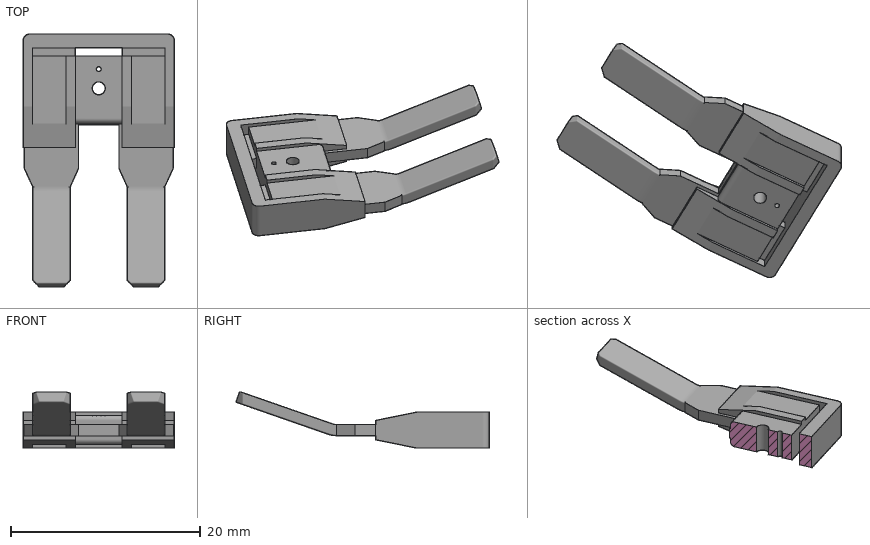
import cadquery as cq
import math

BODY_WIDTH = 16.0
BODY_LENGTH = 12.0
BODY_HEIGHT = 3.83
TOTAL_LENGTH = 26.75
MID_Z = BODY_HEIGHT / 2
CORNER_RADIUS = 0.72

TAPER_START = 7.68
TAPER_DROP = 0.88

BACK_WALL = 1.47
SIDE_WALL = 1.02
GAP_WIDTH = 4.95
RECESS_DEPTH = 0.37
POCKET_WIDTH = 3.53

DECK_BACK = 2.33
DECK_FRONT = 9.5
DECK_EDGE_RADIUS = 0.54
SMALL_HOLE_DIAMETER = 0.48
SMALL_HOLE_Y = 3.72
LARGE_HOLE_DIAMETER = 1.35
LARGE_HOLE_Y = 5.75

PLATE_THICKNESS = 1.2
PLATE_FRONT = 9.6
PLATE_BOTTOM = MID_Z - PLATE_THICKNESS / 2
PLATE_TOP = MID_Z + PLATE_THICKNESS / 2
ARM_OUTER_X = 7.9
ARM_INNER_X = 2.1
ARM_TAPER_START = 14.18
TINE_START = 16.15

TINE_OUTER_X = 6.98
TINE_INNER_X = 3.0
TINE_ANGLE = 19.2
TINE_BEND_RADIUS = 1.4
TIP_CHAMFER = 0.75
TINE_EDGE_RADIUS = 0.13

SIDES = (-1, 1)


def box(x_start, x_end, y_start, y_end, z_start, z_end):
    """Axis-aligned block; y_start and y_end are distances forward of the back face."""
    size = (abs(x_end - x_start), y_end - y_start, z_end - z_start)
    centre = ((x_start + x_end) / 2, -(y_start + y_end) / 2, (z_start + z_end) / 2)
    return cq.Workplane("XY").box(*size).translate(centre)


def side_profile(points, width):
    """Extrude an outline of (distance forward, height) points evenly about X = 0."""
    outline = [(-forward, height) for forward, height in points]
    return cq.Workplane("YZ").polyline(outline).close().extrude(width / 2, both=True)


def make_body():
    block = side_profile(
        [
            (0, 0),
            (TAPER_START, 0),
            (BODY_LENGTH, TAPER_DROP),
            (BODY_LENGTH, BODY_HEIGHT - TAPER_DROP),
            (TAPER_START, BODY_HEIGHT),
            (0, BODY_HEIGHT),
        ],
        BODY_WIDTH,
    )
    block = block.edges("|Z and >Y").fillet(CORNER_RADIUS)
    gap = box(-GAP_WIDTH / 2, GAP_WIDTH / 2, BACK_WALL, BODY_LENGTH, 0, BODY_HEIGHT)
    return block.cut(gap)


def cut_recesses(body):
    """Pockets that run out on the tapers, and the deeper slot behind them, above and below."""
    wall_x = BODY_WIDTH / 2 - SIDE_WALL
    levels = (
        (BODY_HEIGHT - RECESS_DEPTH, BODY_HEIGHT, PLATE_TOP, BODY_HEIGHT),
        (0, RECESS_DEPTH, 0, PLATE_BOTTOM),
    )
    for pocket_low, pocket_high, slot_low, slot_high in levels:
        body = body.cut(box(-wall_x, wall_x, BACK_WALL, DECK_BACK, slot_low, slot_high))
        for side in SIDES:
            outer_x = side * wall_x
            inner_x = side * (wall_x - POCKET_WIDTH)
            body = body.cut(box(outer_x, inner_x, DECK_BACK, BODY_LENGTH, pocket_low, pocket_high))
    return body


def make_deck():
    half = GAP_WIDTH / 2
    deck = box(-half, half, DECK_BACK, DECK_FRONT, RECESS_DEPTH, BODY_HEIGHT - RECESS_DEPTH)
    deck = deck.edges("|X and <Y").fillet(DECK_EDGE_RADIUS)
    bridge = box(-half, half, DECK_BACK, PLATE_FRONT, PLATE_BOTTOM, PLATE_TOP)
    return deck.union(bridge)


def make_arm():
    """Flat arm on the +X side, narrowing to the width of its tine."""
    outline = [
        (ARM_OUTER_X, -DECK_FRONT),
        (ARM_OUTER_X, -ARM_TAPER_START),
        (TINE_OUTER_X, -TINE_START),
        (TINE_INNER_X, -TINE_START),
        (ARM_INNER_X, -ARM_TAPER_START),
        (ARM_INNER_X, -DECK_FRONT),
    ]
    plane = cq.Workplane("XY", origin=(0, 0, PLATE_BOTTOM))
    return plane.polyline(outline).close().extrude(PLATE_THICKNESS)


def make_tine():
    """Tine on the +X side: a strip bent upwards, with vertically cut corners at the tip."""
    angle = math.radians(TINE_ANGLE)
    bend_centre_z = PLATE_TOP + TINE_BEND_RADIUS
    outer_radius = TINE_BEND_RADIUS + PLATE_THICKNESS
    sharp_tip = TOTAL_LENGTH + TINE_EDGE_RADIUS * (math.cos(angle) + math.sin(angle) - 1)
    straight = (sharp_tip - TINE_START - outer_radius * math.sin(angle)) / math.cos(angle)

    def on_bend(radius, turn, run=0.0):
        """Point after turning through the bend and running straight on along the tine."""
        forward = TINE_START + radius * math.sin(turn) + run * math.cos(turn)
        height = bend_centre_z - radius * math.cos(turn) + run * math.sin(turn)
        return (-forward, height)

    strip = (
        cq.Workplane("YZ", origin=(TINE_INNER_X, 0, 0))
        .moveTo(*on_bend(outer_radius, 0))
        .threePointArc(on_bend(outer_radius, angle / 2), on_bend(outer_radius, angle))
        .lineTo(*on_bend(outer_radius, angle, straight))
        .lineTo(*on_bend(TINE_BEND_RADIUS, angle, straight))
        .lineTo(*on_bend(TINE_BEND_RADIUS, angle))
        .threePointArc(on_bend(TINE_BEND_RADIUS, angle / 2), on_bend(TINE_BEND_RADIUS, 0))
        .close()
        .extrude(TINE_OUTER_X - TINE_INNER_X)
    )
    above_tip = bend_centre_z + straight
    plan = box(TINE_INNER_X, TINE_OUTER_X, TINE_START, sharp_tip, 0, above_tip)
    plan = plan.edges("|Z and <Y").chamfer(TIP_CHAMFER)
    tine = strip.intersect(plan)
    edges_clear_of_root = tine.edges("not >Y")
    return edges_clear_of_root.fillet(TINE_EDGE_RADIUS)


def make_hole(diameter, forward):
    return cq.Workplane("XY").center(0, -forward).circle(diameter / 2).extrude(BODY_HEIGHT)


right_arm = make_arm().union(make_tine())
left_arm = right_arm.mirror("YZ")

result = cut_recesses(make_body()).union(make_deck())
result = result.union(right_arm).union(left_arm)
result = result.cut(make_hole(SMALL_HOLE_DIAMETER, SMALL_HOLE_Y))
result = result.cut(make_hole(LARGE_HOLE_DIAMETER, LARGE_HOLE_Y))